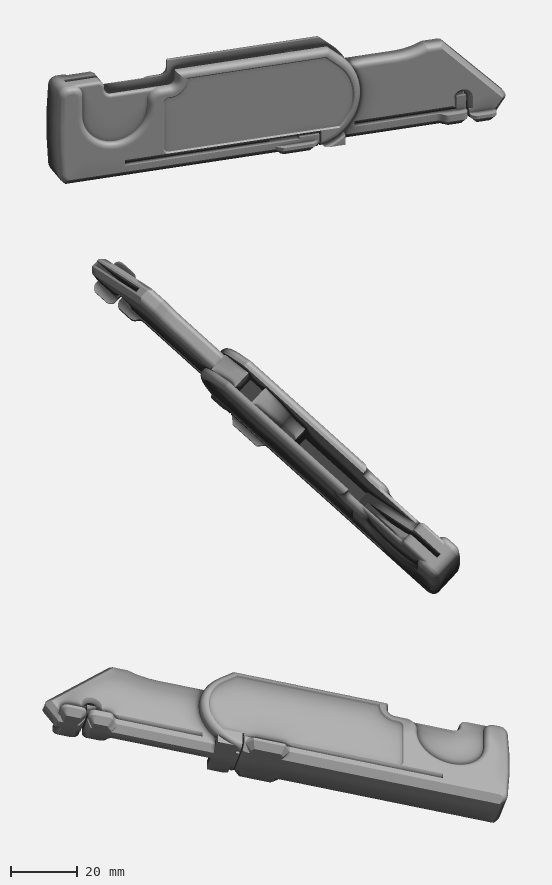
import cadquery as cq
import math


LENGTH = 143.8
HEIGHT = 32.0

HANDLE_HALF = 6.0
SLIDER_HALF = 3.0
CAVITY_HALF = 3.3
CORE_HALF = 4.5
BLADE_SLIT_HALF = 0.79

EDGE = 2.0
CORE_EDGE = 1.0
SQRT_HALF = math.sqrt(0.5)

STRIP_TOP = 4.0
GROOVE_TOP = 5.9

NOSE_RADIUS = HEIGHT / 2
NOSE_CENTER = 63.3
NOSE_TURN = 130.0
STRIP_FRONT = 60.7
STRIP_GAP = 0.6
NOTCH_FRONT = 105.9
NOTCH_FLOOR = 27.3
NOTCH_RADIUS = 2.0
BOWL_RADIUS = 10.2
BOWL_CENTER = 125.3
BOWL_CENTER_HEIGHT = 22.3
BOWL_FRONT_ROUND = 3.9
BOWL_REAR_ROUND = 3.2
STEP_RADIUS = 2.2
STEP_FOOT = 126.1
REAR_BULGE = 0.6
REAR_TOP_RADIUS = 2.9
REAR_BOTTOM_RADIUS = 4.0
REAR_CHAMFER = 1.3

PANEL_DEPTH = 0.5
PANEL_NOSE_RADIUS = 13.7
PANEL_TOP = 29.9
PANEL_REAR = 110.3
PANEL_NOTCH_RADIUS = 4.9
PANEL_CORNER = 1.7
HANDLE_GROOVE_END = 122.5
WINDOW_FRONT = 67.0
WINDOW_REAR = 76.1
WINDOW_TOP = 4.7
BLOCK_FRONT = 107.5
BLOCK_FOOT = 7.5
BLOCK_CREST = 127.4
SPARE_SLIT_FRONT = 110.0
SPARE_SLIT_REAR = 139.5

TIP_RADIUS = 1.7
TIP_HEIGHT = 6.2
TIP_FOOT_TURN = 216.0
HEAD_TOP = 26.8
SLOPE_END = HEAD_TOP - TIP_HEIGHT + TIP_RADIUS * (1 - 2 * SQRT_HALF)
HEAD_END = 25.5
NECK_TOP = 24.95
NECK_START = 34.7
RAMP_START = 50.0
RAMP_END = 59.5
RAMP_TOP = 29.5
POCKET_FRONT = 60.3
POCKET_REAR = 66.3
ARM_FRONT = 66.9
DECK = 21.3
ARM_END = 79.0
ARM_MIDDLE = (71.9, 27.8)
ARM_FOOT = (76.7, 23.0)
ARM_FOOT_MIDDLE = (77.7, 21.7)
SLIDER_END = 82.5
SLIDER_HEEL = 75.2

SLIDER_EDGE = 1.9
SLOPE_CHAMFER = 1.6
SLIDER_GROOVE_END = 48.6
BLADE_SLIT_END = 17.5
BLADE_SLIT_TOP = 24.3
RELEASE_GAP_FRONT = 12.1
GAP_FLARE = 1.5
POST_FRONT = 12.8
POST_REAR = 15.8
POST_TOP = 8.5
POST_HALF = 2.2
ARCH_REAR = 16.1
ARCH_TAPER = 1.2
ARCH_CENTER_HEIGHT = 7.8
STOP_FRONT = 52.5
STOP_CLEARANCE = 0.6
STOP_CHAMFER = 0.5

WING_TOP = 2.9
WING_CHAMFER = 1.9
TIP_WING_FRONT = 3.9
TIP_WING_REAR = 12.1
RELEASE_WING_HALF = 5.0
RELEASE_WING_SHOULDER = 18.8
RELEASE_WING_REAR = 22.5
HANDLE_WING_HALF = 7.98
HANDLE_WING_FRONT = 61.1
HANDLE_WING_REAR = 74.8


def side_plane(x=0.0):
    """Sketch plane at X = x: local x runs from the tip to the rear, local y is up, normal is -X."""
    return cq.Workplane(cq.Plane(origin=(x, 0, 0), xDir=(0, -1, 0), normal=(-1, 0, 0)))


def extrude_across(sketch, half_width):
    return sketch.extrude(half_width, both=True)


def block(front, rear, half_width, bottom, top):
    sketch = side_plane().moveTo(front, bottom).lineTo(rear, bottom).lineTo(rear, top)
    return extrude_across(sketch.lineTo(front, top).close(), half_width)


def arc_by_turn(sketch, center, radius, start_angle, end_angle):
    """Add an arc about center (distance, height) that ends at end_angle, in degrees."""
    def at(angle):
        turn = math.radians(angle)
        return (center[0] + radius * math.cos(turn), center[1] + radius * math.sin(turn))
    return sketch.threePointArc(at((start_angle + end_angle) / 2), at(end_angle))


def both_sides(right_half):
    return right_half.union(right_half.mirror("YZ"))


def v_groove(front, rear, half_width, bottom):
    """Grooves in both sides with a flat floor and a 45 degree roof falling inwards."""
    depth = GROOVE_TOP - bottom
    across = cq.Workplane(cq.Plane(origin=(0, -front, 0), xDir=(1, 0, 0), normal=(0, -1, 0)))
    points = [(half_width, bottom), (half_width, GROOVE_TOP), (half_width - depth, bottom)]
    return both_sides(across.polyline(points).close().extrude(rear - front))



def handle_outline(with_bowls):
    """Side outline; with_bowls opens the thumb bowl, otherwise the notch runs to its rear step."""
    rear_side = LENGTH - REAR_BULGE
    rear_turn = REAR_BOTTOM_RADIUS * (1 - SQRT_HALF)
    rear_rise = REAR_BOTTOM_RADIUS * SQRT_HALF
    rear_low = REAR_CHAMFER + rear_rise
    rear_high = HEIGHT - REAR_TOP_RADIUS

    sketch = side_plane().moveTo(NOSE_CENTER, 0)
    sketch = nose_and_brow(sketch, NOSE_RADIUS, 270, HEIGHT)
    sketch = sketch.lineTo(NOTCH_FRONT, HEIGHT).lineTo(NOTCH_FRONT, NOTCH_FLOOR + NOTCH_RADIUS)
    notch_corner = (NOTCH_FRONT + NOTCH_RADIUS, NOTCH_FLOOR + NOTCH_RADIUS)
    sketch = arc_by_turn(sketch, notch_corner, NOTCH_RADIUS, 180, 270)
    if with_bowls:
        bowl_front = BOWL_CENTER - BOWL_RADIUS
        bowl_rear = BOWL_CENTER + BOWL_RADIUS
        front_round = (bowl_front - BOWL_FRONT_ROUND, NOTCH_FLOOR - BOWL_FRONT_ROUND)
        rear_round = (bowl_rear + BOWL_REAR_ROUND, HEIGHT - BOWL_REAR_ROUND)
        sketch = sketch.lineTo(front_round[0], NOTCH_FLOOR)
        sketch = arc_by_turn(sketch, front_round, BOWL_FRONT_ROUND, 90, 0)
        sketch = sketch.lineTo(bowl_front, BOWL_CENTER_HEIGHT)
        sketch = arc_by_turn(sketch, (BOWL_CENTER, BOWL_CENTER_HEIGHT), BOWL_RADIUS, 180, 360)
        sketch = sketch.lineTo(bowl_rear, rear_round[1])
        sketch = arc_by_turn(sketch, rear_round, BOWL_REAR_ROUND, 180, 90)
    else:
        step_rise = STEP_FOOT + STEP_RADIUS
        sketch = sketch.lineTo(STEP_FOOT, NOTCH_FLOOR)
        sketch = arc_by_turn(sketch, (STEP_FOOT, NOTCH_FLOOR + STEP_RADIUS), STEP_RADIUS, 270, 360)
        sketch = sketch.lineTo(step_rise, HEIGHT - STEP_RADIUS)
        sketch = arc_by_turn(sketch, (step_rise + STEP_RADIUS, HEIGHT - STEP_RADIUS), STEP_RADIUS, 180, 90)
    sketch = sketch.lineTo(rear_side - REAR_TOP_RADIUS, HEIGHT)
    sketch = arc_by_turn(sketch, (rear_side - REAR_TOP_RADIUS, rear_high), REAR_TOP_RADIUS, 90, 0)
    sketch = sketch.threePointArc((LENGTH, (rear_high + rear_low) / 2), (rear_side, rear_low))
    sketch = arc_by_turn(sketch, (rear_side - REAR_BOTTOM_RADIUS, rear_low), REAR_BOTTOM_RADIUS, 0, -45)
    sketch = sketch.lineTo(rear_side - rear_turn - REAR_CHAMFER, 0)
    return sketch.close()


def nose_and_brow(sketch, radius, start_angle, top):
    """Add the nose arc, then the straight brow that leaves it tangentially and climbs to top."""
    turn = math.radians(NOSE_TURN)
    sketch = arc_by_turn(sketch, (NOSE_CENTER, NOSE_RADIUS), radius, start_angle, NOSE_TURN)
    brow_rise = top - NOSE_RADIUS - radius * math.sin(turn)
    brow_foot = NOSE_CENTER + radius * math.cos(turn)
    return sketch.lineTo(brow_foot - brow_rise * math.tan(turn), top)


def rounded_plate(outline, half_width, radius):
    """Extrude an outline across X and round the edges of both side faces."""
    plate = extrude_across(outline, half_width)
    plate = plate.faces("<X").edges().fillet(radius)
    return plate.faces(">X").edges().fillet(radius)


def bottom_chamfer(front, rear, half_width, size):
    """Prisms that cut a 45 degree chamfer along both bottom edges."""
    across = cq.Workplane(cq.Plane(origin=(0, -front, 0), xDir=(1, 0, 0), normal=(0, -1, 0)))
    points = [(half_width, 0), (half_width, size), (half_width - size, 0)]
    return both_sides(across.polyline(points).close().extrude(rear - front))


def side_panels():
    """Shallow recesses with 45 degree walls in both sides, following the nose and the notch."""
    nose_low = math.degrees(math.asin((GROOVE_TOP - NOSE_RADIUS) / PANEL_NOSE_RADIUS))
    notch_corner = (NOTCH_FRONT + NOTCH_RADIUS, NOTCH_FLOOR + NOTCH_RADIUS)
    notch_start = 180 - math.degrees(math.asin((PANEL_TOP - notch_corner[1]) / PANEL_NOTCH_RADIUS))
    notch_meet = (notch_corner[0] + PANEL_NOTCH_RADIUS * math.cos(math.radians(notch_start)), PANEL_TOP)
    rear_round = PANEL_REAR - PANEL_CORNER
    below_notch = notch_corner[1] - PANEL_NOTCH_RADIUS

    sketch = side_plane(-HANDLE_HALF)
    sketch = sketch.moveTo(NOSE_CENTER - PANEL_NOSE_RADIUS * math.cos(math.radians(nose_low)), GROOVE_TOP)
    sketch = nose_and_brow(sketch, PANEL_NOSE_RADIUS, 180 - nose_low, PANEL_TOP).lineTo(*notch_meet)
    sketch = arc_by_turn(sketch, notch_corner, PANEL_NOTCH_RADIUS, notch_start, 270)
    sketch = sketch.lineTo(rear_round, below_notch)
    sketch = arc_by_turn(sketch, (rear_round, below_notch - PANEL_CORNER), PANEL_CORNER, 90, 0)
    sketch = sketch.lineTo(PANEL_REAR, GROOVE_TOP + PANEL_CORNER)
    sketch = arc_by_turn(sketch, (rear_round, GROOVE_TOP + PANEL_CORNER), PANEL_CORNER, 0, -90)
    return both_sides(sketch.close().extrude(-PANEL_DEPTH, taper=45))


def block_slope(place):
    """Height of the rear block's 45 degree front slope at a distance from the tip."""
    return BLOCK_FOOT + place - BLOCK_FRONT


def handle_cavity():
    """Channel for the slider: open above, in front, and below ahead of the bottom strip."""
    sketch = side_plane().moveTo(0, 0).lineTo(STRIP_FRONT, 0).lineTo(STRIP_FRONT, STRIP_TOP)
    sketch = sketch.lineTo(BLOCK_FRONT, STRIP_TOP).lineTo(BLOCK_FRONT, BLOCK_FOOT)
    sketch = sketch.lineTo(BLOCK_CREST, block_slope(BLOCK_CREST)).lineTo(BLOCK_CREST, HEIGHT)
    return extrude_across(sketch.lineTo(0, HEIGHT).close(), CAVITY_HALF)


def spare_blade_slit():
    """Slit in the rear block; its floor is level with the point where it enters the slope."""
    floor = block_slope(SPARE_SLIT_FRONT)
    return block(SPARE_SLIT_FRONT, SPARE_SLIT_REAR, BLADE_SLIT_HALF, floor, HEIGHT)


def handle_wing():
    flare = HANDLE_WING_HALF - HANDLE_HALF
    length = HANDLE_WING_REAR - HANDLE_WING_FRONT
    middle = (HANDLE_WING_FRONT + HANDLE_WING_REAR) / 2
    plan = cq.Workplane("XY").center(0, -middle).rect(2 * HANDLE_WING_HALF, length)
    wing = plan.extrude(WING_TOP).edges("|Z").chamfer(flare)
    return wing.faces("<Z").edges().chamfer(WING_CHAMFER)


def make_handle():
    body = rounded_plate(handle_outline(True), HANDLE_HALF, EDGE)
    body = body.union(rounded_plate(handle_outline(False), CORE_HALF, CORE_EDGE))
    body = body.cut(bottom_chamfer(STRIP_FRONT, LENGTH, HANDLE_HALF, EDGE))
    body = body.cut(side_panels()).cut(handle_cavity()).cut(spare_blade_slit())
    body = body.cut(block(STRIP_FRONT - STRIP_GAP, STRIP_FRONT, HANDLE_HALF, 0, GROOVE_TOP))
    body = body.cut(v_groove(STRIP_FRONT, WINDOW_REAR, HANDLE_HALF, WINDOW_TOP))
    body = body.cut(v_groove(WINDOW_REAR, HANDLE_GROOVE_END, HANDLE_HALF, STRIP_TOP))
    body = body.cut(block(WINDOW_FRONT, WINDOW_REAR, HANDLE_HALF, STRIP_TOP, WINDOW_TOP))
    return body.union(handle_wing())



def slider_outline():
    neck_radius = ((NECK_START - HEAD_END) ** 2 + (HEAD_TOP - NECK_TOP) ** 2) / (2 * (HEAD_TOP - NECK_TOP))
    half_run = (NECK_START - HEAD_END) / 2
    neck_middle = NECK_TOP + neck_radius - math.sqrt(neck_radius ** 2 - half_run ** 2)
    foot_turn = math.radians(TIP_FOOT_TURN)
    chin = (TIP_RADIUS * (1 + math.cos(foot_turn)), TIP_HEIGHT + TIP_RADIUS * math.sin(foot_turn))
    foot = chin[0] + chin[1] * math.tan(foot_turn)
    sketch = side_plane().moveTo(foot, 0).lineTo(*chin)
    sketch = arc_by_turn(sketch, (TIP_RADIUS, TIP_HEIGHT), TIP_RADIUS, TIP_FOOT_TURN, 135)
    sketch = sketch.lineTo(SLOPE_END, HEAD_TOP).lineTo(HEAD_END, HEAD_TOP)
    sketch = sketch.threePointArc((HEAD_END + half_run, neck_middle), (NECK_START, NECK_TOP))
    sketch = sketch.lineTo(RAMP_START, NECK_TOP)
    return sketch.lineTo(RAMP_START, 0).close()


def edges_between(body, side, front, rear, bottom, top):
    """Edges of a side face whose centers lie within a range of distances and heights."""
    margin = 0.1
    corner = (-HANDLE_HALF, -rear - margin, bottom - margin)
    opposite = (HANDLE_HALF, -front + margin, top + margin)
    return body.faces(side).edges(cq.selectors.BoxSelector(corner, opposite))


def slider_bar():
    """Front bar: top edges rounded, edges of the slope, the tip and the underside chamfered."""
    bar = extrude_across(slider_outline(), SLIDER_HALF)
    for side in ("<X", ">X"):
        bar = edges_between(bar, side, 0, SLOPE_END, 0, HEAD_TOP).chamfer(SLOPE_CHAMFER)
        bar = edges_between(bar, side, SLOPE_END, RAMP_START - 1.5, NECK_TOP, HEAD_TOP).fillet(SLIDER_EDGE)
    return bar.cut(bottom_chamfer(0, RAMP_START, SLIDER_HALF, SLIDER_EDGE))


def slider_tail():
    """Full-width rear part: ramp, pocket and curved arm on top of the deck."""
    sketch = side_plane().moveTo(RAMP_START, 0).lineTo(STRIP_FRONT - STRIP_GAP, 0)
    sketch = sketch.lineTo(STRIP_FRONT - STRIP_GAP, STRIP_TOP).lineTo(SLIDER_HEEL, STRIP_TOP)
    sketch = sketch.lineTo(SLIDER_HEEL, GROOVE_TOP).lineTo(SLIDER_END, GROOVE_TOP)
    sketch = sketch.lineTo(SLIDER_END, DECK).lineTo(ARM_END, DECK)
    sketch = sketch.threePointArc(ARM_FOOT_MIDDLE, ARM_FOOT).threePointArc(ARM_MIDDLE, (ARM_FRONT, RAMP_TOP))
    sketch = sketch.lineTo(POCKET_REAR, RAMP_TOP).lineTo(POCKET_REAR, DECK).lineTo(POCKET_FRONT, DECK)
    sketch = sketch.lineTo(RAMP_END, RAMP_TOP).lineTo(RAMP_START, NECK_TOP)
    tail = extrude_across(sketch.close(), SLIDER_HALF)
    return tail.cut(bottom_chamfer(RAMP_START, STOP_FRONT, SLIDER_HALF, SLIDER_EDGE))


def release_arch():
    """Opening round the latch post, widening at 45 degrees towards both sides."""
    radius = (ARCH_REAR - RELEASE_GAP_FRONT) / 2
    center = (RELEASE_GAP_FRONT + radius, ARCH_CENTER_HEIGHT)

    def profile(plane, grow):
        sketch = plane.moveTo(RELEASE_GAP_FRONT - grow, STRIP_TOP)
        sketch = sketch.lineTo(center[0] - radius - grow, center[1])
        sketch = arc_by_turn(sketch, center, radius + grow, 180, 0)
        return sketch.lineTo(ARCH_REAR + grow, STRIP_TOP).close()

    through = extrude_across(profile(side_plane(), 0), SLIDER_HALF)
    funnel = profile(side_plane(-SLIDER_HALF), ARCH_TAPER)
    funnel = profile(funnel.workplane(offset=-ARCH_TAPER), 0).loft(ruled=True)
    return through.union(both_sides(funnel))


def release_gap():
    """Gap that frees the strip's end, flared at the underside."""
    sketch = side_plane().moveTo(RELEASE_GAP_FRONT - GAP_FLARE, 0).lineTo(RELEASE_GAP_FRONT, GAP_FLARE)
    sketch = sketch.lineTo(RELEASE_GAP_FRONT, STRIP_TOP).lineTo(POST_FRONT, STRIP_TOP)
    sketch = sketch.lineTo(POST_FRONT, GAP_FLARE).lineTo(POST_FRONT + GAP_FLARE, 0)
    return extrude_across(sketch.close(), HANDLE_HALF)


def tip_wing():
    plan = cq.Workplane("XY").center(0, -(TIP_WING_FRONT + TIP_WING_REAR) / 2)
    wing = plan.rect(2 * HANDLE_HALF, TIP_WING_REAR - TIP_WING_FRONT).extrude(WING_TOP)
    return wing.edges("|Z").fillet(EDGE).faces("<Z").edges().chamfer(WING_CHAMFER)


def release_wing():
    """Wing at the strip's free end: rounded in front, easing into the slider's sides behind."""
    half = RELEASE_WING_HALF
    ease_width = half - SLIDER_HALF
    ease_length = RELEASE_WING_REAR - RELEASE_WING_SHOULDER
    plan = cq.Workplane("XY").moveTo(0, -POST_FRONT).lineTo(half, -POST_FRONT)
    plan = plan.lineTo(half, -RELEASE_WING_SHOULDER)
    plan = plan.tangentArcPoint((-ease_width / 2, -ease_length / 2))
    plan = plan.tangentArcPoint((-ease_width / 2, -ease_length / 2)).lineTo(0, -RELEASE_WING_REAR)
    right_half = plan.close().extrude(STRIP_TOP)
    wing = both_sides(right_half).edges("|Z and >Y").fillet(EDGE)
    return wing.faces("<Z").edges().chamfer(WING_CHAMFER)


def nose_stop():
    """Stop under the handle's nose, its upper face following the nose at a small clearance."""
    radius = NOSE_RADIUS + STOP_CLEARANCE
    reach = math.sqrt(radius ** 2 - NOSE_RADIUS ** 2)
    front_angle = 180 + math.degrees(math.acos((NOSE_CENTER - STOP_FRONT) / radius))
    rear_angle = 270 - math.degrees(math.asin(reach / radius))
    front_height = NOSE_RADIUS + radius * math.sin(math.radians(front_angle))
    sketch = side_plane().moveTo(STOP_FRONT, 0).lineTo(STOP_FRONT, front_height)
    sketch = arc_by_turn(sketch, (NOSE_CENTER, NOSE_RADIUS), radius, front_angle, rear_angle)
    stop = extrude_across(sketch.close(), HANDLE_HALF)
    for side in ("<X", ">X"):
        stop = stop.faces(side).edges("%CIRCLE").chamfer(STOP_CHAMFER)
    return stop


def make_slider():
    body = slider_bar().union(slider_tail())
    body = body.cut(block(0, BLADE_SLIT_END, BLADE_SLIT_HALF, GROOVE_TOP, BLADE_SLIT_TOP))
    body = body.cut(release_arch()).cut(v_groove(ARCH_REAR, SLIDER_GROOVE_END, SLIDER_HALF, STRIP_TOP))
    body = body.union(block(POST_FRONT, POST_REAR, POST_HALF, STRIP_TOP, POST_TOP))
    return body.union(tip_wing()).union(release_wing()).union(nose_stop()).cut(release_gap())


handle = make_handle()
slider = make_slider()
result = cq.Compound.makeCompound([handle.val(), slider.val()])